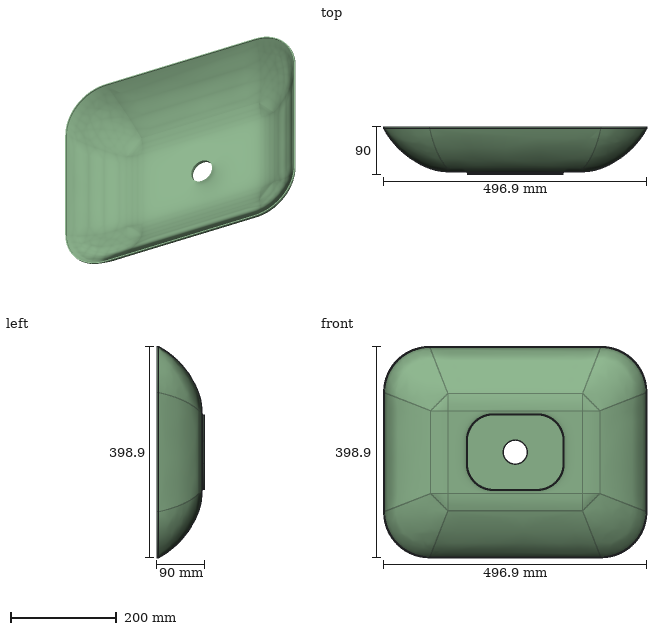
import cadquery as cq
import math


RIM_HALF_X = 496.89 / 2
RIM_HALF_Z = 398.89 / 2
RIM_CORNER_RADIUS = 87.0
RIM_BAND = 3.0
TOTAL_DEPTH = 90.0
WALL_THICKNESS = 2.0

PAD_HEIGHT = 5.0
PAD_BAND = 3.0
PAD_FLARE = 2.0
PAD_HALF_X = 90.4
PAD_HALF_Z = 70.3
PAD_CORNER_RADIUS = 49.0
DRAIN_DIAMETER = 45.0

FLOOR_DEPTH = TOTAL_DEPTH - PAD_HEIGHT
BEND_RUN = 32.9
BEND_RISE = 5.8
WALL_RUN = 88.45
FLOOR_HALF_X = RIM_HALF_X - WALL_RUN - BEND_RUN
FLOOR_HALF_Z = RIM_HALF_Z - WALL_RUN - BEND_RUN
BEND_RADIUS = (BEND_RUN**2 + BEND_RISE**2) / (2 * BEND_RISE)
BEND_ANGLE = 2 * math.atan2(BEND_RISE, BEND_RUN)

WALL_SECTIONS = 9
ROUNDING_EXPONENT = 0.4
CHAMFER_MIDDLE = 0.5
ARC_MIDDLE = 1 - math.sqrt(0.5)

CORNER_SIGNS = [(1, 1), (-1, 1), (-1, -1), (1, -1)]


def corner_outline(half_x, half_z, corner, roundness, y):
    """Closed outline with four sides and four corners; roundness 0 is a chamfer, 1 a quarter circle."""
    inset = corner * (CHAMFER_MIDDLE + roundness * (ARC_MIDDLE - CHAMFER_MIDDLE))
    corners = []
    for sign_x, sign_z in CORNER_SIGNS:
        start = cq.Vector(sign_x * half_x, y, sign_z * (half_z - corner))
        middle = cq.Vector(sign_x * (half_x - inset), y, sign_z * (half_z - inset))
        end = cq.Vector(sign_x * (half_x - corner), y, sign_z * half_z)
        if sign_x != sign_z:
            start, end = end, start
        corners.append((start, middle, end))

    edges = []
    for index, (start, middle, end) in enumerate(corners):
        if roundness == 0:
            edges.append(cq.Edge.makeLine(start, end))
        else:
            edges.append(cq.Edge.makeThreePointArc(start, middle, end))
        next_start = corners[(index + 1) % len(corners)][0]
        edges.append(cq.Edge.makeLine(end, next_start))
    return cq.Wire.assembleEdges(edges)


def bend_arc(start, direction, run, rise):
    """Arc that leaves the floor tangentially and climbs by rise over run."""
    angle = math.atan2(rise, run)
    radius = (run**2 + rise**2) / (2 * rise)
    middle = start + direction * (radius * math.sin(angle))
    middle += cq.Vector(0, radius * (1 - math.cos(angle)), 0)
    end = start + direction * run + cq.Vector(0, rise, 0)
    return cq.Edge.makeThreePointArc(start, middle, end)


def floor_bend(depth, run, rise):
    """Flat floor with a curved strip along each side and a curved triangle at each corner."""
    floor_points = []
    x_arcs = []
    z_arcs = []
    for sign_x, sign_z in CORNER_SIGNS:
        point = cq.Vector(sign_x * FLOOR_HALF_X, -depth, sign_z * FLOOR_HALF_Z)
        floor_points.append(point)
        x_arcs.append(bend_arc(point, cq.Vector(sign_x, 0, 0), run, rise))
        z_arcs.append(bend_arc(point, cq.Vector(0, 0, sign_z), run, rise))

    faces = [cq.Face.makeFromWires(cq.Wire.makePolygon(floor_points, close=True))]
    for index in range(len(CORNER_SIGNS)):
        following = (index + 1) % len(CORNER_SIGNS)
        strip_arcs = z_arcs if index % 2 == 0 else x_arcs
        faces.append(cq.Face.makeRuledSurface(strip_arcs[index], strip_arcs[following]))
        faces.append(cq.Face.makeRuledSurface(x_arcs[index], z_arcs[index]))
    top = corner_outline(FLOOR_HALF_X + run, FLOOR_HALF_Z + run, run, 0, rise - depth)
    faces.append(cq.Face.makeFromWires(top))
    return cq.Solid.makeSolid(cq.Shell.makeShell(faces))


def wall_arc_point(run, rise, fraction):
    """Run and rise along the wall arc, which leaves the bend tangentially and ends at (run, rise)."""
    half_sweep = math.atan2(rise, run) - BEND_ANGLE
    radius = math.hypot(run, rise) / (2 * math.sin(half_sweep))
    angle = BEND_ANGLE + 2 * half_sweep * fraction
    along = radius * (math.sin(angle) - math.sin(BEND_ANGLE))
    up = radius * (math.cos(BEND_ANGLE) - math.cos(angle))
    return along, up


def bowl(offset):
    """Solid bowl from the floor to the rim plane, with its surface moved inwards by offset."""
    shrink = 1 - offset / BEND_RADIUS
    depth = FLOOR_DEPTH - offset
    bend_run = BEND_RUN * shrink
    bend_rise = BEND_RISE * shrink
    half_x = FLOOR_HALF_X + bend_run
    half_z = FLOOR_HALF_Z + bend_run
    wall_bottom = bend_rise - depth
    wall_run = RIM_HALF_X - offset - half_x
    wall_rise = -RIM_BAND - wall_bottom
    corner_growth = RIM_CORNER_RADIUS - offset - bend_run

    sections = []
    for index in range(WALL_SECTIONS):
        along, up = wall_arc_point(wall_run, wall_rise, index / (WALL_SECTIONS - 1))
        blend = along / wall_run
        corner = bend_run + corner_growth * blend
        roundness = blend**ROUNDING_EXPONENT
        section = corner_outline(half_x + along, half_z + along, corner, roundness, wall_bottom + up)
        sections.append(section)

    base = cq.Workplane(obj=floor_bend(depth, bend_run, bend_rise))
    wall = cq.Workplane(obj=cq.Solid.makeLoft(sections))
    band = cq.Workplane(obj=cq.Solid.extrudeLinear(sections[-1], [], cq.Vector(0, RIM_BAND, 0)))
    return base.union(wall).union(band)


def pad_outline(growth, y):
    """Rounded pad outline enlarged by growth."""
    return corner_outline(PAD_HALF_X + growth, PAD_HALF_Z + growth, PAD_CORNER_RADIUS + growth, 1, y)


def drain_pad():
    """Straight band at the outermost plane on a foot that flares out to the floor."""
    band_solid = cq.Solid.extrudeLinear(pad_outline(0, -TOTAL_DEPTH), [], cq.Vector(0, PAD_BAND, 0))
    foot_outlines = [pad_outline(0, PAD_BAND - TOTAL_DEPTH), pad_outline(PAD_FLARE, -FLOOR_DEPTH)]
    foot_solid = cq.Solid.makeLoft(foot_outlines, True)
    return cq.Workplane(obj=band_solid).union(cq.Workplane(obj=foot_solid))


def drain_hole():
    """Round drain through the pad and the floor."""
    return cq.Workplane("XZ").circle(DRAIN_DIAMETER / 2).extrude(TOTAL_DEPTH)


outer_bowl = bowl(0)
cavity = bowl(WALL_THICKNESS)
result = outer_bowl.union(drain_pad()).cut(cavity).cut(drain_hole())